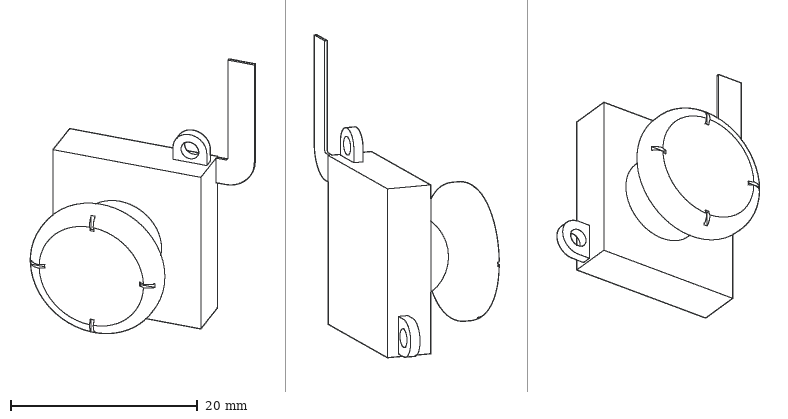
import cadquery as cq
import math

housing_width = 17.0
housing_depth = 5.0
housing_height = 18.6

dome_radius = 4.8
knob_x = 7.7
knob_z = 9.02
knob_radius = 7.493
knob_thickness = 3.7
knob_rim_radius = 1.5
crest_radius = knob_radius - knob_rim_radius
dish_radius = 5.38
dish_depth = 0.22
dish_wall_radius = 1.0
cone_tip_depth = 0.1

mark_count = 4
mark_width = 0.43
mark_inner_radius = 5.45
mark_outer_radius = 7.17
mark_depth = 0.53

ear_hole_diameter = 2.0
ear_thickness = 1.08
ear_back_offset = 1.27
ear_front_y = housing_depth - ear_back_offset - ear_thickness
side_ear_radius = 2.07
side_ear_reach = 3.52
side_ear_z = 2.38
top_ear_radius = 1.95
top_ear_reach = 3.4
top_ear_x = 14.7

tail_width = 3.03
tail_thickness = 0.3
tail_back_offset = 0.15
tail_reach = 4.4
tail_rise = 12.3
tail_inner_radius = 0.3
tail_outer_radius = tail_inner_radius + tail_width


def extrude_back(sketch_on_xz, front_y, thickness):
    """Extrude an XZ outline toward +Y, starting at front_y."""
    return sketch_on_xz.extrude(-thickness).translate((0, front_y, 0))


def make_ear(radius, reach):
    """Round-ended ear pointing to +Z from the origin, with a hole at the centre of its round end."""
    straight = reach - radius
    outline = (
        cq.Workplane("XZ")
        .moveTo(-radius, 0)
        .lineTo(-radius, straight)
        .threePointArc((0, reach), (radius, straight))
        .lineTo(radius, 0)
        .close()
    )
    ear = extrude_back(outline, ear_front_y, ear_thickness)
    hole = cq.Workplane("XZ").center(0, straight).circle(ear_hole_diameter / 2)
    return ear.cut(extrude_back(hole, ear_front_y, ear_thickness))


def make_tail():
    """L-shaped strip that leaves the right side of the housing and turns upward."""
    outer_x = housing_width + tail_reach
    inner_x = outer_x - tail_width
    bottom_z = housing_height - tail_width
    top_z = housing_height + tail_rise
    bend_x = inner_x - tail_inner_radius
    bend_z = housing_height + tail_inner_radius
    diagonal = math.sqrt(0.5)
    outline = (
        cq.Workplane("XZ")
        .moveTo(housing_width, bottom_z)
        .lineTo(bend_x, bottom_z)
        .threePointArc(
            (bend_x + diagonal * tail_outer_radius, bend_z - diagonal * tail_outer_radius),
            (outer_x, bend_z),
        )
        .lineTo(outer_x, top_z)
        .lineTo(inner_x, top_z)
        .lineTo(inner_x, bend_z)
        .threePointArc(
            (bend_x + diagonal * tail_inner_radius, bend_z - diagonal * tail_inner_radius),
            (bend_x, housing_height),
        )
        .lineTo(housing_width, housing_height)
        .close()
    )
    tail_front_y = housing_depth - tail_back_offset - tail_thickness
    return extrude_back(outline, tail_front_y, tail_thickness)


def make_housing():
    """Block with its dome, two mounting ears and tail."""
    block = cq.Workplane("XY").box(housing_width, housing_depth, housing_height, centered=False)
    ball = cq.Workplane("XY").sphere(dome_radius)
    front_half = cq.Workplane("XY").box(
        2 * dome_radius, dome_radius, 2 * dome_radius, centered=(True, False, True)
    )
    dome = ball.intersect(front_half.translate((0, -dome_radius, 0)))
    top_ear = make_ear(top_ear_radius, top_ear_reach).translate((top_ear_x, 0, housing_height))
    side_ear = make_ear(side_ear_radius, side_ear_reach).rotate((0, 0, 0), (0, 1, 0), -90)
    return (
        block.union(dome.translate((knob_x, 0, knob_z)))
        .union(top_ear)
        .union(side_ear.translate((0, 0, side_ear_z)))
        .union(make_tail())
    )


def make_knob():
    """Round-rimmed knob: a concave wall drops from the rim crest to a low cone, with radial marks cut in."""
    back_y = -dome_radius
    front_y = back_y - knob_thickness
    rim_offset = knob_rim_radius * math.sqrt(0.5)
    profile = (
        cq.Workplane("XY")
        .moveTo(0, back_y)
        .lineTo(crest_radius, back_y)
        .threePointArc(
            (crest_radius + rim_offset, back_y - knob_rim_radius + rim_offset),
            (knob_radius, back_y - knob_rim_radius),
        )
        .lineTo(knob_radius, front_y + knob_rim_radius)
        .threePointArc(
            (crest_radius + rim_offset, front_y + knob_rim_radius - rim_offset),
            (crest_radius, front_y),
        )
        .radiusArc((dish_radius, front_y + dish_depth), -dish_wall_radius)
        .lineTo(0, front_y + cone_tip_depth)
        .close()
    )
    knob = profile.revolve(360, (0, 0, 0), (0, 1, 0))
    mark = (
        cq.Workplane("XY")
        .box(mark_outer_radius - mark_inner_radius, mark_depth, mark_width, centered=(False, False, True))
        .translate((mark_inner_radius, front_y, 0))
    )
    for index in range(mark_count):
        knob = knob.cut(mark.rotate((0, 0, 0), (0, 1, 0), index * 360 / mark_count))
    return knob.translate((knob_x, 0, knob_z))


housing = make_housing()
knob = make_knob()
result = cq.Compound.makeCompound([housing.val(), knob.val()])